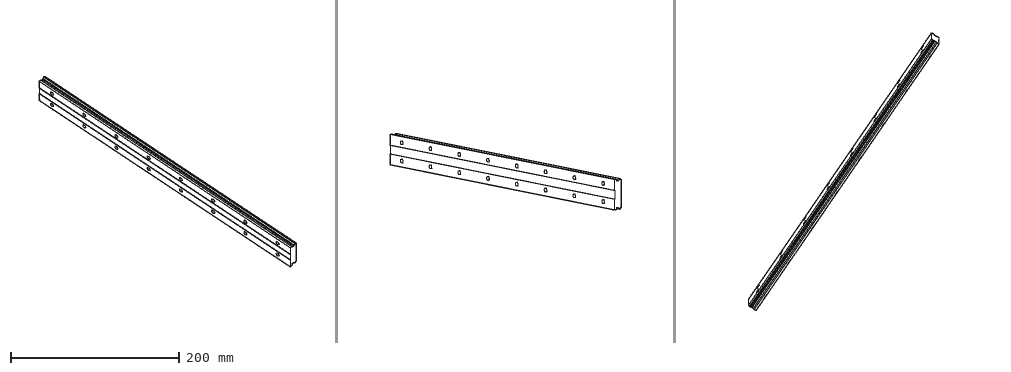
import cadquery as cq

length = 390.0
height = 11.0
width = 37.0

foot_height = 2.6
floor_start = 4.0
floor_end = 5.9
lower_groove_start = 6.9
tip_start = 8.4
tip_end = 9.4
floor_depth = 2.3
groove_depth = 1.5
groove_sag = 0.3

relief_width = 10.6
relief_depth = 0.5

hole_diameter = 4.5
hole_pitch = 50.0
hole_count = 8
row_spacing = 22.0

half_width = width / 2
floor_z = half_width - floor_depth
groove_z = half_width - groove_depth


def half_section():
    """Section in the YZ plane from the mid-plane Z = 0 out to one long edge."""
    return (
        cq.Workplane("YZ")
        .moveTo(0, 0)
        .lineTo(0, half_width)
        .lineTo(foot_height, half_width)
        .lineTo(floor_start, floor_z)
        .lineTo(floor_end, floor_z)
        .lineTo(lower_groove_start, groove_z)
        .sagittaArc((tip_start, half_width), -groove_sag)
        .lineTo(tip_end, half_width)
        .sagittaArc((height, groove_z), -groove_sag)
        .lineTo(height, 0)
        .close()
    )


def rail_body():
    """Both halves of the section extruded along X, centred on X = 0."""
    upper_half = half_section().extrude(length / 2, both=True)
    return upper_half.union(upper_half.mirror("XY")).clean()


def relief_groove():
    """Shallow channel running the full length of the mounting face."""
    return cq.Workplane("XY").box(length, relief_depth, relief_width, centered=(True, False, True))


def mounting_holes():
    """Through holes along Y, in two rows parallel to X."""
    return (
        cq.Workplane("XZ")
        .rarray(hole_pitch, row_spacing, hole_count, 2)
        .circle(hole_diameter / 2)
        .extrude(-height)
    )


result = rail_body().cut(relief_groove()).cut(mounting_holes())